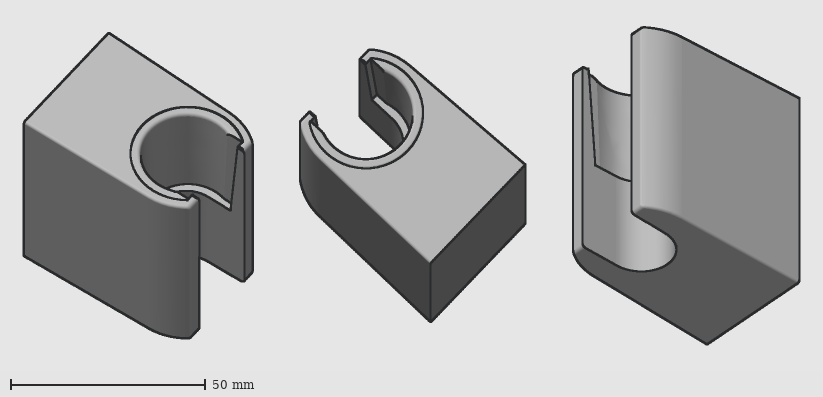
import cadquery as cq
import math

length = 50.5
back_width = 36.05
total_height = 60.2
lip_rise = 0.2
housing_top = total_height - lip_rise
bottom_rise = 1.45
flank_length = 39.8
flank_half_width = 17.1
tip_half_width = 13.1
edge_radius = 0.8
tip_radius = 1.2

seat_x = 39.45
seat_radius = 14.75
seat_end_x = 48.35
seat_end_floor_x = 46.05
seat_depth = 30.1
slot_x = 38.9
slot_half_width = 9.3
slot_mouth_half_width = 9.45
slot_edge_bevel = 0.35

bore_top_radius = 12.1
bore_bottom_radius = 11.75
bore_rounding = 0.95
rim_rounding = 0.55
insert_gap_half_width = 11.3

seat_floor = housing_top - seat_depth


def flank_arc_middle():
    """Midpoint of the nose arc that leaves the flank tangentially."""
    slope = math.atan2(flank_half_width - back_width / 2, flank_length)
    dx = length - flank_length
    dy = tip_half_width - flank_half_width
    chord = math.hypot(dx, dy)
    half_turn = slope - math.atan2(dy, dx)
    sagitta = chord / 2 * math.tan(half_turn / 2)
    x = flank_length + dx / 2 - dy / chord * sagitta
    y = flank_half_width + dy / 2 + dx / chord * sagitta
    return x, y


def make_housing_block():
    """Tapered block with rounded nose, softened edges and a sloping underside."""
    arc_x, arc_y = flank_arc_middle()
    plan = (
        cq.Workplane("XY")
        .moveTo(0, -back_width / 2)
        .lineTo(flank_length, -flank_half_width)
        .threePointArc((arc_x, -arc_y), (length, -tip_half_width))
        .lineTo(length, tip_half_width)
        .threePointArc((arc_x, arc_y), (flank_length, flank_half_width))
        .lineTo(0, back_width / 2)
        .close()
        .extrude(housing_top)
    )
    side_profile = (
        cq.Workplane("XZ")
        .polyline([(0, 0), (length, bottom_rise), (length, housing_top), (0, housing_top)])
        .close()
        .extrude(back_width / 2, both=True)
    )
    block = plan.intersect(side_profile)
    block = block.faces(">X").edges("|Y").fillet(tip_radius)
    side_edges = block.faces("<Z or >Z").edges("not |Y")
    return side_edges.fillet(edge_radius)


def make_slot():
    """Round-ended through slot that widens slightly toward its mouth."""
    return (
        cq.Workplane("XY")
        .moveTo(slot_x, slot_half_width)
        .threePointArc((slot_x - slot_half_width, 0), (slot_x, -slot_half_width))
        .lineTo(length, -slot_mouth_half_width)
        .lineTo(length, slot_mouth_half_width)
        .close()
        .extrude(total_height)
    )


def make_slot_edge_bevel():
    """Wedge that breaks the top slot edges of the two nose tips."""
    top_half_width = slot_mouth_half_width + slot_edge_bevel
    return (
        cq.Workplane("YZ", origin=(seat_end_x, 0, 0))
        .moveTo(-slot_mouth_half_width, housing_top - slot_edge_bevel)
        .lineTo(slot_mouth_half_width, housing_top - slot_edge_bevel)
        .lineTo(top_half_width, housing_top)
        .lineTo(-top_half_width, housing_top)
        .close()
        .extrude(length - seat_end_x)
    )


def trim_at_seat_end(body):
    """Keep only the part of a round body behind the leaning seat end."""
    lean = (seat_end_x - seat_end_floor_x) / seat_depth
    end_top_x = seat_end_x + lean * lip_rise
    keep = (
        cq.Workplane("XZ")
        .polyline([
            (0, seat_floor),
            (seat_end_floor_x, seat_floor),
            (end_top_x, total_height),
            (0, total_height),
        ])
        .close()
        .extrude(back_width / 2, both=True)
    )
    return body.intersect(keep)


def make_seat_disc(height):
    return (
        cq.Workplane("XY", origin=(seat_x, 0, seat_floor))
        .circle(seat_radius)
        .extrude(height)
    )


def make_insert_gap():
    """Opening between the two insert ends."""
    return cq.Workplane("XY", origin=(seat_x, 0, 0)).box(
        length, 2 * insert_gap_half_width, total_height, centered=(False, True, False)
    )


def make_housing():
    seat = trim_at_seat_end(make_seat_disc(seat_depth))
    return make_housing_block().cut(seat).cut(make_slot()).cut(make_slot_edge_bevel())


def make_insert():
    """C-shaped collar with a conical bore, resting on the seat floor."""
    height = total_height - seat_floor
    bore = (
        cq.Workplane("XY", origin=(seat_x, 0, seat_floor))
        .circle(bore_bottom_radius)
        .workplane(offset=height)
        .circle(bore_top_radius)
        .loft()
    )
    ring = make_seat_disc(height).cut(bore)
    top_circles = ring.faces(">Z").edges()
    outer_rim = top_circles.edges(cq.selectors.RadiusNthSelector(-1))
    ring = outer_rim.fillet(rim_rounding)
    bore_rim = ring.faces(">Z").edges(cq.selectors.RadiusNthSelector(0))
    ring = bore_rim.fillet(bore_rounding)
    return trim_at_seat_end(ring).cut(make_insert_gap())


housing = make_housing()
insert = make_insert()

result = cq.Compound.makeCompound([housing.solids().val(), insert.solids().val()])